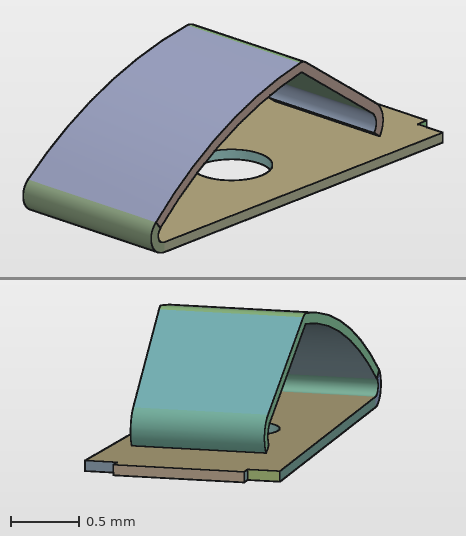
import cadquery as cq
import math

length = 3.2
sheet = 0.08
base_rear_width = 1.49
front_width = 1.258
tab_width = 1.0
tab_length = 0.1
hole_diameter = 0.6
hole_y = 1.6

height = 1.0
front_radius = 0.15
arch_radius = 3.265
crown_radius = 0.1
crown_y = 1.747
ramp_angle = 35.5
ramp_length = 1.0
hook_radius = 0.2
hook_sweep = 91.0
strip_tip_width = 1.025


def polar(center, radius, angle):
    """Point in the YZ plane at an angle in degrees, measured from +Y toward +Z."""
    turn = math.radians(angle)
    return (center[0] + radius * math.cos(turn), center[1] + radius * math.sin(turn))


def direction(start, end):
    return math.degrees(math.atan2(end[1] - start[1], end[0] - start[0]))


front_center = (front_radius, front_radius)
crown_center = (crown_y, height - crown_radius)
center_distance = math.dist(front_center, crown_center)
front_reach = arch_radius - front_radius
crown_reach = arch_radius - crown_radius
front_corner_angle = math.degrees(math.acos(
    (front_reach**2 + center_distance**2 - crown_reach**2) / (2 * front_reach * center_distance)
))
arch_center = polar(front_center, front_reach, direction(front_center, crown_center) - front_corner_angle)
arch_front_angle = direction(arch_center, front_center)
arch_crown_angle = direction(arch_center, crown_center)

ramp_normal = 90 - ramp_angle
ramp_top = polar(crown_center, crown_radius, ramp_normal)
ramp_bottom = polar(ramp_top, ramp_length, -ramp_angle)
hook_center = polar(ramp_bottom, -hook_radius, ramp_normal)
hook_tip_angle = ramp_normal - hook_sweep


def bent_sheet(center, outer_radius, start_angle, end_angle, width):
    """Curved sheet section extruded symmetrically along X."""
    inner_radius = outer_radius - sheet
    middle_angle = (start_angle + end_angle) / 2
    return (
        cq.Workplane("YZ")
        .moveTo(*polar(center, outer_radius, start_angle))
        .threePointArc(polar(center, outer_radius, middle_angle), polar(center, outer_radius, end_angle))
        .lineTo(*polar(center, inner_radius, end_angle))
        .threePointArc(polar(center, inner_radius, middle_angle), polar(center, inner_radius, start_angle))
        .close()
        .extrude(width / 2, both=True)
    )


def tapered_plate(start_y, end_y, start_width, end_width, thickness):
    """Plate symmetric about X = 0, with its underside at Z = 0."""
    return (
        cq.Workplane("XY")
        .polyline([
            (-start_width / 2, start_y),
            (start_width / 2, start_y),
            (end_width / 2, end_y),
            (-end_width / 2, end_y),
        ])
        .close()
        .extrude(thickness)
    )


def make_base():
    shoulder_y = length - tab_length
    plate = tapered_plate(front_radius, shoulder_y, front_width, base_rear_width, sheet)
    tab = tapered_plate(shoulder_y, length, tab_width, tab_width, sheet)
    hole = cq.Workplane("XY").center(0, hole_y).circle(hole_diameter / 2).extrude(sheet)
    return plate.union(tab).cut(hole)


def make_strip():
    arch = bent_sheet(arch_center, arch_radius, arch_front_angle, arch_crown_angle, front_width)
    crown = bent_sheet(crown_center, crown_radius, arch_crown_angle, ramp_normal, front_width)
    ramp = (
        cq.Workplane("YZ")
        .polyline([
            ramp_top,
            ramp_bottom,
            polar(ramp_bottom, -sheet, ramp_normal),
            polar(ramp_top, -sheet, ramp_normal),
        ])
        .close()
        .extrude(front_width / 2, both=True)
    )
    hook = bent_sheet(hook_center, hook_radius, ramp_normal, hook_tip_angle, front_width)
    strip_start_y = polar(arch_center, arch_radius, arch_front_angle)[0]
    strip_end_y = hook_center[0] + hook_radius
    outline = tapered_plate(strip_start_y, strip_end_y, front_width, strip_tip_width, height)
    return arch.union(crown).union(ramp).union(hook).intersect(outline)


front_bend = bent_sheet(front_center, front_radius, 270, arch_front_angle, front_width)
result = make_base().union(front_bend).union(make_strip())